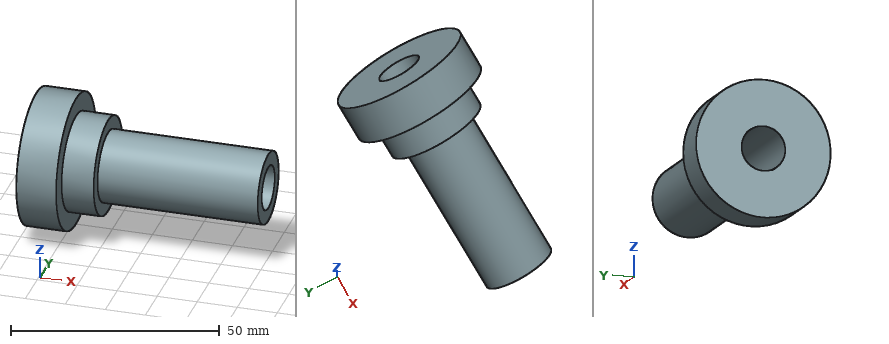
import cadquery as cq

total_length = 58.0
flange_length = 10.0
shoulder_length = 8.0
shank_length = total_length - flange_length - shoulder_length

flange_diameter = 34.0
shoulder_diameter = 24.6
shank_diameter = 18.0
bore_diameter = 11.0


def cylinder_along_x(start_x, length, diameter):
    """Solid cylinder centred on the X axis, starting at start_x."""
    return cq.Workplane("YZ", origin=(start_x, 0, 0)).circle(diameter / 2).extrude(length)


flange = cylinder_along_x(0, flange_length, flange_diameter)
shoulder = cylinder_along_x(flange_length, shoulder_length, shoulder_diameter)
shank = cylinder_along_x(flange_length + shoulder_length, shank_length, shank_diameter)
body = flange.union(shoulder).union(shank)

bore = cylinder_along_x(0, total_length, bore_diameter)

result = body.cut(bore)